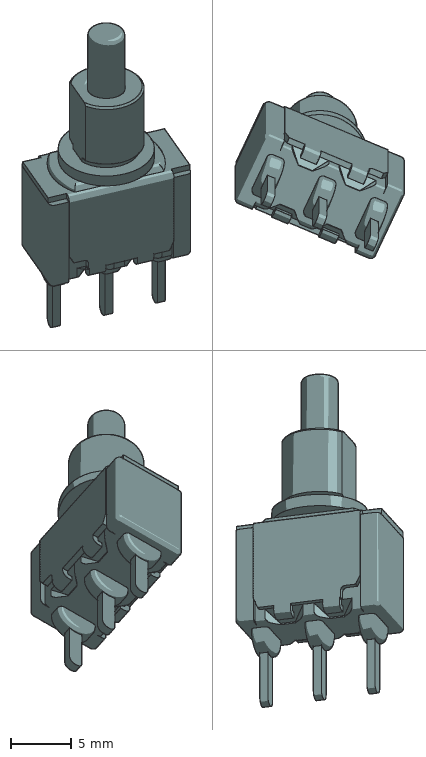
import cadquery as cq
import math


HOUSING_BOTTOM = 6.35
HOUSING_TOP = 14.75
SHEET = 0.52
FRAME_TOP = HOUSING_TOP + SHEET
DOME_HEIGHT = 0.52
DOME_TOP = FRAME_TOP + DOME_HEIGHT
FLANGE_THICKNESS = 1.0
FLANGE_TOP = DOME_TOP + FLANGE_THICKNESS
BUSHING_TOP = 23.1
PLUNGER_TOP = 28.63

HOUSING_LENGTH = 12.7
HOUSING_WIDTH = 6.67
HOUSING_ROUND = 0.43

FRAME_WIDTH = 6.87
FRAME_LENGTH = 9.4
INNER_WIDTH = FRAME_WIDTH - 2 * SHEET
FOLD_RADIUS = 0.55
END_PLATE_WIDTH = 5.6
SIDE_BOTTOM = 7.5
BACK_BEVEL_TOP = 8.45
BACK_BEVEL_Y = 4.3
NOTCH_TOP = 8.5
NOTCH_Y = -2.98
NOTCH_ROUND = 0.43
NOTCH_BEVEL_TOP = 9.25
NOTCH_BEVEL_Y = -4.3

TAB_WIDTH = 1.45
TAB_Y = 2.15
TAB_BOTTOM = 6.55
TAB_BEND = 0.65
TAB_LIP = 0.3
POCKET_WIDTH = 3.35
POCKET_DEPTH = 1.03
POCKET_TAPER = 45

DOME_RADIUS = 4.92
DOME_WIDTH = 5.78
DOME_ROUND = 0.63
FLANGE_DIAMETER = 8.0
BUSHING_RADIUS = 3.15
BUSHING_CHAMFER = 0.17
BUSHING_FLAT_Y = -2.58
GROOVE_RADIUS = 2.78
GROOVE_TOP = 17.18
GROOVE_BEVEL = 0.2
BORE_ROUND = 0.35

PLUNGER_RADIUS = 1.55
PLUNGER_ROUND = 0.37

TERMINAL_PITCH = 4.7
TERMINAL_WIDTH = 1.25
TERMINAL_THICKNESS = 0.72
TERMINAL_INSERT = 1.43
BOSS_RADIUS = 1.9
BOSS_THICKNESS = 1.55
BOSS_ROUND = 0.4

TERMINAL_POSITIONS = [-TERMINAL_PITCH, 0, TERMINAL_PITCH]


def block(width, length, bottom, top):
    """Box centred on the Z axis between two heights."""
    return cq.Workplane("XY").workplane(offset=bottom).rect(width, length).extrude(top - bottom)


def disc(radius, bottom, top):
    """Cylinder on the Z axis between two heights."""
    return cq.Workplane("XY").workplane(offset=bottom).circle(radius).extrude(top - bottom)


def make_terminal(y):
    """Flat terminal blade with a fully rounded tip."""
    half_width = TERMINAL_WIDTH / 2
    top = HOUSING_BOTTOM + TERMINAL_INSERT
    return (
        cq.Workplane("XZ", origin=(0, y + TERMINAL_THICKNESS / 2, 0))
        .moveTo(-half_width, top)
        .lineTo(-half_width, half_width)
        .threePointArc((0, 0), (half_width, half_width))
        .lineTo(half_width, top)
        .close()
        .extrude(TERMINAL_THICKNESS)
    )


def make_boss(y):
    """Half-disc boss below the housing with rounded rims."""
    boss = (
        cq.Workplane("XZ", origin=(0, y + BOSS_THICKNESS / 2, 0))
        .center(0, HOUSING_BOTTOM)
        .circle(BOSS_RADIUS)
        .extrude(BOSS_THICKNESS)
        .edges()
        .fillet(BOSS_ROUND)
    )
    return boss.cut(block(HOUSING_WIDTH, 2 * HOUSING_LENGTH, HOUSING_BOTTOM + BOSS_ROUND, HOUSING_TOP))


def make_tab_pocket(y, side):
    """Tapered pocket in the recessed wall, open downward, that clears one folded tab."""
    height = 2 * (SIDE_BOTTOM - HOUSING_BOTTOM)
    pocket = (
        cq.Workplane("YZ", origin=(INNER_WIDTH / 2, y, HOUSING_BOTTOM))
        .rect(POCKET_WIDTH, height)
        .extrude(-POCKET_DEPTH, taper=POCKET_TAPER)
    )
    return pocket if side > 0 else pocket.mirror("YZ")


def make_housing(terminals):
    """Rounded box whose middle is narrowed for the frame, with bosses, pockets and terminal slots."""
    ends = block(HOUSING_WIDTH, HOUSING_LENGTH, HOUSING_BOTTOM, HOUSING_TOP)
    ends = ends.edges("|Z").fillet(HOUSING_ROUND)
    ends = ends.faces("<Z").edges().fillet(HOUSING_ROUND)
    ends = ends.cut(block(FRAME_WIDTH, FRAME_LENGTH, HOUSING_BOTTOM, HOUSING_TOP))
    middle = block(INNER_WIDTH, FRAME_LENGTH, HOUSING_BOTTOM, HOUSING_TOP)
    middle = middle.faces("<Z").edges("|Y").fillet(HOUSING_ROUND)
    housing = ends.union(middle)
    for y in TERMINAL_POSITIONS:
        housing = housing.union(make_boss(y))
    for side in (-1, 1):
        for y in (-TAB_Y, TAB_Y):
            housing = housing.cut(make_tab_pocket(y, side))
    for terminal in terminals:
        housing = housing.cut(terminal)
    return housing


def make_side_profile():
    """Outline of the side plates in the YZ plane, extruded across the full frame width."""
    half_length = FRAME_LENGTH / 2
    arc_reach = NOTCH_ROUND * (1 - math.sqrt(0.5))
    return (
        cq.Workplane("YZ", origin=(-FRAME_WIDTH / 2, 0, 0))
        .moveTo(half_length, FRAME_TOP)
        .lineTo(half_length, BACK_BEVEL_TOP)
        .lineTo(BACK_BEVEL_Y, SIDE_BOTTOM)
        .lineTo(NOTCH_Y, SIDE_BOTTOM)
        .lineTo(NOTCH_Y, NOTCH_TOP - NOTCH_ROUND)
        .threePointArc(
            (NOTCH_Y - arc_reach, NOTCH_TOP - arc_reach),
            (NOTCH_Y - NOTCH_ROUND, NOTCH_TOP),
        )
        .lineTo(NOTCH_BEVEL_Y, NOTCH_TOP)
        .lineTo(-half_length, NOTCH_BEVEL_TOP)
        .lineTo(-half_length, FRAME_TOP)
        .close()
        .extrude(FRAME_WIDTH)
    )


def make_tab(y, side):
    """Tab that continues a side plate and bends inward under the housing."""
    outer_x = FRAME_WIDTH / 2
    inner_x = INNER_WIDTH / 2
    bend_x = outer_x - TAB_BEND
    bend_z = TAB_BOTTOM + TAB_BEND
    end_x = bend_x - TAB_LIP
    inner_bend = TAB_BEND - SHEET
    tab = (
        cq.Workplane("XZ", origin=(0, y + TAB_WIDTH / 2, 0))
        .moveTo(outer_x, SIDE_BOTTOM)
        .lineTo(outer_x, bend_z)
        .radiusArc((bend_x, TAB_BOTTOM), TAB_BEND)
        .lineTo(end_x, TAB_BOTTOM)
        .lineTo(end_x, TAB_BOTTOM + SHEET)
        .lineTo(bend_x, TAB_BOTTOM + SHEET)
        .radiusArc((inner_x, bend_z), -inner_bend)
        .lineTo(inner_x, SIDE_BOTTOM)
        .close()
        .extrude(TAB_WIDTH)
    )
    return tab if side > 0 else tab.mirror("YZ")


def make_folded_sheet():
    """Top plate folded down on both long sides, plus the narrower end plates and the tabs."""
    sheet = block(FRAME_WIDTH, FRAME_LENGTH, HOUSING_BOTTOM, FRAME_TOP)
    sheet = sheet.faces(">Z").edges("|Y").fillet(FOLD_RADIUS)
    sheet = sheet.cut(block(INNER_WIDTH, FRAME_LENGTH, HOUSING_BOTTOM, HOUSING_TOP))
    sheet = sheet.intersect(make_side_profile())
    sheet = sheet.union(block(END_PLATE_WIDTH, HOUSING_LENGTH, HOUSING_TOP, FRAME_TOP))
    for side in (-1, 1):
        for y in (-TAB_Y, TAB_Y):
            sheet = sheet.union(make_tab(y, side))
    return sheet


def make_dome():
    """Raised round seat with straight sides and a rounded rim."""
    dome = disc(DOME_RADIUS, HOUSING_TOP, DOME_TOP)
    dome = dome.intersect(block(DOME_WIDTH, HOUSING_LENGTH, HOUSING_TOP, DOME_TOP))
    return dome.faces(">Z").edges().fillet(DOME_ROUND)


def make_bushing():
    """Turned bushing with an undercut above its flange and one flat on the -Y side."""
    bushing = (
        cq.Workplane("XZ")
        .moveTo(0, FLANGE_TOP)
        .lineTo(GROOVE_RADIUS, FLANGE_TOP)
        .lineTo(GROOVE_RADIUS, GROOVE_TOP)
        .lineTo(BUSHING_RADIUS, GROOVE_TOP + GROOVE_BEVEL)
        .lineTo(BUSHING_RADIUS, BUSHING_TOP - BUSHING_CHAMFER)
        .lineTo(BUSHING_RADIUS - BUSHING_CHAMFER, BUSHING_TOP)
        .lineTo(0, BUSHING_TOP)
        .close()
        .revolve(360, (0, 0, 0), (0, 1, 0))
    )
    flat_depth = BUSHING_RADIUS + BUSHING_FLAT_Y
    flat_cut = block(2 * BUSHING_RADIUS, flat_depth, FLANGE_TOP, BUSHING_TOP)
    bushing = bushing.cut(flat_cut.translate((0, BUSHING_FLAT_Y - flat_depth / 2, 0)))
    return bushing.union(disc(FLANGE_DIAMETER / 2, DOME_TOP, FLANGE_TOP))


def make_frame():
    """Folded sheet, dome and bushing as one solid, bored through for the plunger."""
    frame = make_folded_sheet().union(make_dome()).union(make_bushing())
    frame = frame.cut(disc(PLUNGER_RADIUS, HOUSING_TOP, BUSHING_TOP))
    return frame.faces(">Z").edges(cq.selectors.RadiusNthSelector(0)).fillet(BORE_ROUND)


def make_plunger():
    """Round push rod standing on the housing, with a rounded top rim."""
    plunger = disc(PLUNGER_RADIUS, HOUSING_TOP, PLUNGER_TOP)
    return plunger.faces(">Z").edges().fillet(PLUNGER_ROUND)


terminals = [make_terminal(y) for y in TERMINAL_POSITIONS]
housing = make_housing(terminals)
frame = make_frame()
plunger = make_plunger()

result = cq.Compound.makeCompound(
    [housing.val(), frame.val(), plunger.val(), *[terminal.val() for terminal in terminals]]
)